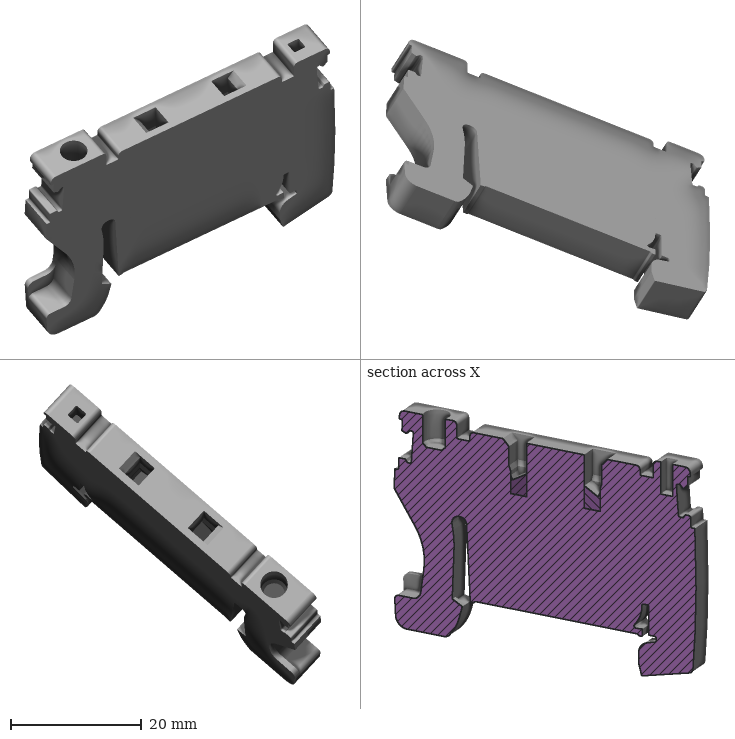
import cadquery as cq
import math

WIDTH = 6.0
HEIGHT = 35.95
MID_X = WIDTH / 2
LEDGE_Z = 34.65
GROOVE_Z = 33.1
BASE_Z = 6.8
LABEL_FLOOR_Z = 27.55
LABEL_LIP_Z = 28.05
SHOULDER_Z = 26.1
HEAD_LIP_Z = 34.4
RAISED_REST_WIDTH = 0.95
TOE_RELIEF_WIDTH = MID_X

ENTRY_MIRROR_Y = 1.8
ENTRY_INNER = 5.05
ENTRY_WIDTH = 3.7
OPENING_LENGTH = 4.05
LEAD_IN_LENGTH = 3.25
SHAFT_LENGTH = 3.0
THROAT_LENGTH = 2.7
THROAT_WIDTH = 2.8
LEAD_IN_DEPTH = 0.85
STEP_DEPTH = 0.25
SHAFT_DEPTH = 3.15
FUNNEL_DEPTH = 0.85

SPRING_LEAF_LENGTH = 2.35
SPRING_LEAF_SLOPE = 30.0
SPRING_LIP_SLOPE = 65.0
SPRING_HEIGHT = 3.7

SCREW_HOLE_Y = -19.3
SCREW_HOLE_RADIUS = 2.1
SCREW_HOLE_DEPTH = 5.25
SCREW_HOLE_FLOOR_BEVEL = 0.5
TEST_HOLE_Y = 21.15
TEST_HOLE_SIDE = 2.05
TEST_HOLE_DEPTH = SCREW_HOLE_DEPTH
TEST_HOLE_CORNER_RADIUS = 0.2


FRONT_FOOT_Y = -25.95
FRONT_FACE_LEAN = 3.0
WAIST_TOP_Y = -20.65
WAIST_TOP_Z = 14.15
WAIST_LEAN = 7.7


def front_face_y(z):
    """Front face of the foot, leaning outward as it rises."""
    return FRONT_FOOT_Y - z * math.tan(math.radians(FRONT_FACE_LEAN))


def waist_y(z):
    """Side above the thumb rest, leaning outward as it goes down."""
    return WAIST_TOP_Y - (WAIST_TOP_Z - z) * math.tan(math.radians(WAIST_LEAN))


REAR_HEAD = [
    (16.6, LEDGE_Z, 0.75), (16.6, GROOVE_Z, 0.15), (18.8, GROOVE_Z, 0.1), (18.8, HEIGHT, 0.75),
    (25.3, HEIGHT, 1.0), (25.3, HEAD_LIP_Z, 0.2), (24.85, HEAD_LIP_Z, 0), (24.85, 32.8, 0.15),
    (24.05, 32.15, 0.2), (23.45, 32.85, 0.15), (22.9, 32.75, 0.2), (23.25, LABEL_FLOOR_Z, 0.25),
    (24.05, LABEL_FLOOR_Z, 0.15), (24.4, LABEL_LIP_Z, 0.2), (25.4, LABEL_LIP_Z, 0.35), (25.45, SHOULDER_Z, 0.2),
    (26.1, SHOULDER_Z, 0),
]
REAR_SIDE = [(26.3, 16.25, 15.8), (26.15, 9.1, 0), (25.75, 2.2, 0.95), (16.8, 0, 0.15), (16.25, 2.0, 0.25)]
REAR_TOE = [(16.2, 5.25, 2.1), (19.3, 6.15, 0)]
REAR_SLOT = [
    (19.3, 6.95, 0.25), (18.0, 6.95, 0.1), (18.0, 11.9, 0.2), (16.9, 11.9, 0.2), (16.9, 10.0, 4.75),
    (15.5, 8.05, 0.1), (15.75, 7.75, 0.15), (16.95, 7.85, 0.1), (16.95, 6.55, 0.1),
    (16.4, 6.55, 0.15), (16.05, BASE_Z, 0.15),
]
FRONT_SLOT = [
    (-12.15, BASE_Z, 0.15), (-12.35, 6.6, 0.1), (-13.05, 6.55, 0),
    (-13.75, 20.25, 1.1), (-16.15, 20.25, 1.15), (-16.15, 18.9, 0.55), (-15.75, 16.3, 15.8),
]
FRONT_TOE = [(-16.1, 6.55, 0), (-14.35, 5.6, 0.1)]
FRONT_FOOT = [(-15.25, 2.1, 7.9), (-17.0, 0, 1.15), (FRONT_FOOT_Y, 0, 2.1)]
RAISED_THUMB_REST = [(front_face_y(7.9), 7.9, 1.05), (waist_y(8.0), 8.0, 1.75)]
THUMB_REST = [(front_face_y(5.35), 5.35, 0.8), (waist_y(5.35), 5.35, 1.35)]
FRONT_SIDE = [(WAIST_TOP_Y, WAIST_TOP_Z, 10), (-26.3, 22.9, 0.25), (-26.15, SHOULDER_Z, 0)]
FRONT_HEAD = [
    (-25.55, SHOULDER_Z, 0.15), (-25.55, LABEL_LIP_Z, 0.2), (-24.25, LABEL_LIP_Z, 0.15),
    (-24.0, LABEL_FLOOR_Z, 0.2), (-23.3, LABEL_FLOOR_Z, 0.25), (-22.95, 32.75, 0.2),
    (-23.45, 32.85, 0.15), (-24.1, 32.2, 0.2),
    (-24.95, 32.6, 0.15), (-24.85, HEAD_LIP_Z, 0), (-25.4, HEAD_LIP_Z, 0.15), (-25.4, HEIGHT, 1.0),
    (-15.3, HEIGHT, 0.75), (-15.3, GROOVE_Z, 0.15), (-13.1, GROOVE_Z, 0.15), (-13.1, LEDGE_Z, 0.75),
]


def rounded_outline(corners):
    """Closed wire in the YZ plane through the corners, each rounded by its own radius."""
    points = [cq.Vector(0, y, z) for y, z, _ in corners]
    edges = []
    start = previous_end = None
    for i, (corner, (_, _, radius)) in enumerate(zip(points, corners)):
        back = (points[i - 1] - corner).normalized()
        ahead = (points[(i + 1) % len(points)] - corner).normalized()
        half_angle = back.getAngle(ahead) / 2
        reach = radius / math.tan(half_angle)
        arc_start = corner + back * reach
        arc_end = corner + ahead * reach
        if previous_end is not None:
            edges.append(cq.Edge.makeLine(previous_end, arc_start))
        else:
            start = arc_start
        if radius > 0:
            bisector = (back + ahead).normalized()
            arc_middle = corner + bisector * (radius / math.sin(half_angle) - radius)
            edges.append(cq.Edge.makeThreePointArc(arc_start, arc_middle, arc_end))
        previous_end = arc_end
    edges.append(cq.Edge.makeLine(previous_end, start))
    return cq.Wire.assembleEdges(edges)


def slab(thumb_rest, x_start, x_end):
    """Slice of the housing between two X positions, with the given thumb rest."""
    corners = (REAR_HEAD + REAR_SIDE + REAR_TOE + REAR_SLOT + FRONT_SLOT + FRONT_TOE
               + FRONT_FOOT + thumb_rest + FRONT_SIDE + FRONT_HEAD)
    face = cq.Face.makeFromWires(rounded_outline(corners))
    solid = cq.Solid.extrudeLinear(face, cq.Vector(x_end - x_start, 0, 0))
    return cq.Workplane(solid.translate(cq.Vector(x_start, 0, 0)))


REAR_RELIEF = [(19.3, 5.85), (16.7, 4.85), (16.7, 6.3), (19.3, 6.3)]
FRONT_RELIEF = [(-16.1, 5.9), (-14.2, 5.55), (-14.2, 6.55), (-16.1, 6.55)]


def toe_relief(profile):
    """Wedge that lowers the tip of a toe over the -X half of the thickness."""
    return cq.Workplane("YZ").polyline(profile).close().extrude(TOE_RELIEF_WIDTH)


def entry_y(side, distance):
    """Y position at a distance from the mirror plane; side is +1 or -1."""
    return ENTRY_MIRROR_Y + side * distance


def section_at(z, side, width, length):
    """Rectangle at height z that starts at the near wall of an entry."""
    middle = entry_y(side, ENTRY_INNER + length / 2)
    return cq.Workplane("XY", origin=(MID_X, middle, z)).rect(width, length)


def lofted(z_top, top_size, z_bottom, bottom_size, side):
    """Tapered stage of an entry between two rectangles."""
    top = section_at(z_top, side, *top_size).wires().val()
    bottom = section_at(z_bottom, side, *bottom_size).wires().val()
    return cq.Workplane(cq.Solid.makeLoft([top, bottom], True))


STEP_Z = LEDGE_Z - LEAD_IN_DEPTH
SHAFT_Z = STEP_Z - STEP_DEPTH
FUNNEL_Z = SHAFT_Z - SHAFT_DEPTH
THROAT_Z = FUNNEL_Z - FUNNEL_DEPTH
SPRING_Z = THROAT_Z - SPRING_HEIGHT
OPENING = (ENTRY_WIDTH, OPENING_LENGTH)
LEAD_IN = (ENTRY_WIDTH, LEAD_IN_LENGTH)
SHAFT = (ENTRY_WIDTH, SHAFT_LENGTH)
THROAT = (THROAT_WIDTH, THROAT_LENGTH)


def wire_entry(side):
    """One wire entry: lead-in, step, shaft, funnel and the recess that holds the spring."""
    lead_in = lofted(LEDGE_Z, OPENING, STEP_Z, LEAD_IN, side)
    step = lofted(STEP_Z, LEAD_IN, SHAFT_Z, SHAFT, side)
    shaft = section_at(FUNNEL_Z, side, *SHAFT).extrude(SHAFT_DEPTH)
    funnel = lofted(FUNNEL_Z, SHAFT, THROAT_Z, THROAT, side)
    recess = section_at(SPRING_Z, side, *THROAT).extrude(SPRING_HEIGHT)
    return lead_in.union(step).union(shaft).union(funnel).union(recess)


def spring(side):
    """Block in the recess; its top slopes away from the near wall and ends in a short lip."""
    near = entry_y(side, ENTRY_INNER)
    valley = entry_y(side, ENTRY_INNER + SPRING_LEAF_LENGTH)
    far = entry_y(side, ENTRY_INNER + THROAT_LENGTH)
    drop = SPRING_LEAF_LENGTH * math.tan(math.radians(SPRING_LEAF_SLOPE))
    rise = (THROAT_LENGTH - SPRING_LEAF_LENGTH) * math.tan(math.radians(SPRING_LIP_SLOPE))
    valley_z = THROAT_Z - drop
    profile = [
        (near, SPRING_Z), (far, SPRING_Z), (far, valley_z + rise), (valley, valley_z), (near, THROAT_Z),
    ]
    return (
        cq.Workplane("YZ", origin=(MID_X, 0, 0))
        .polyline(profile)
        .close()
        .extrude(THROAT_WIDTH / 2, both=True)
    )


def screw_hole():
    """Round hole in the front head, bevelled around its floor."""
    return (
        cq.Workplane("XY", origin=(MID_X, SCREW_HOLE_Y, HEIGHT - SCREW_HOLE_DEPTH))
        .circle(SCREW_HOLE_RADIUS)
        .extrude(SCREW_HOLE_DEPTH)
        .faces("<Z")
        .chamfer(SCREW_HOLE_FLOOR_BEVEL)
    )


def test_hole():
    """Square hole in the rear head."""
    return (
        cq.Workplane("XY", origin=(MID_X, TEST_HOLE_Y, HEIGHT - TEST_HOLE_DEPTH))
        .rect(TEST_HOLE_SIDE, TEST_HOLE_SIDE)
        .extrude(TEST_HOLE_DEPTH)
        .edges("|Z")
        .fillet(TEST_HOLE_CORNER_RADIUS)
    )


housing = slab(RAISED_THUMB_REST, 0, RAISED_REST_WIDTH)
housing = housing.union(slab(THUMB_REST, RAISED_REST_WIDTH, WIDTH))
housing = housing.cut(toe_relief(REAR_RELIEF)).cut(toe_relief(FRONT_RELIEF))
housing = housing.cut(screw_hole()).cut(test_hole())

springs = []
for side in (1, -1):
    housing = housing.cut(wire_entry(side))
    springs.append(spring(side).val())

result = cq.Compound.makeCompound([housing.val(), *springs])